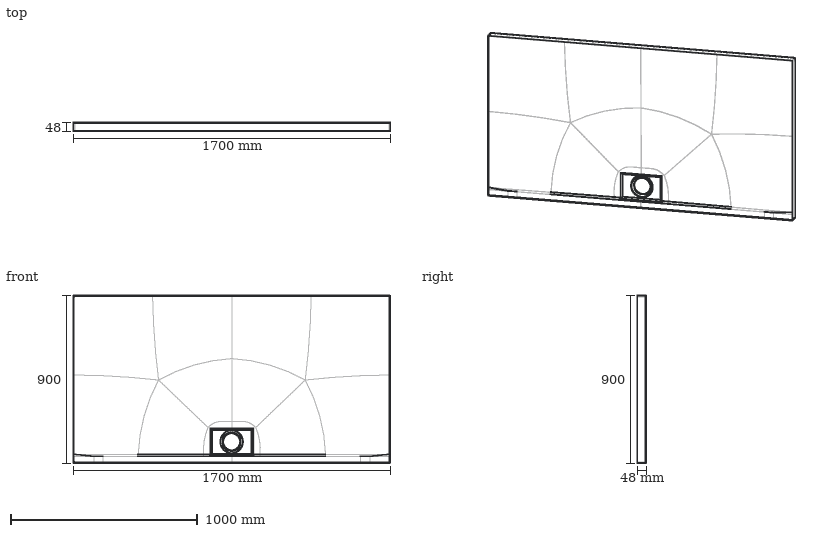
import cadquery as cq


LENGTH = 1700.0
DEPTH = 48.0
HEIGHT = 900.0
WALL = 5.0
CORNER_RADIUS = 8.0
TOP_EDGE_RADIUS = 4.0

FLOOR_THICKNESS = 5.0
RIM_LEVEL = DEPTH / 2 - FLOOR_THICKNESS
PAD_SINK = 11.0
JUNCTION_SINK = 6.0
ARCH_SINK = 5.5
FLOOR_EDGE_SINK = 6.5
INNER_X = LENGTH / 2 - WALL
INNER_Z = HEIGHT / 2 - WALL

FLOOR_EDGE_Z = -402.0
SHELF_EDGE_Z = -413.0
SHELF_TILT_SINK = 2.0
SHELF_RAMP_START_X = 740.0
SHELF_RAMP_END_X = 690.0

BOX_HALF_WIDTH = 106.0
BOX_TOP_Z = -273.0
BOX_RISE = 14.0
BOX_SIDE_FLARE = 9.0
BOX_TOP_FLARE = 10.0
BOX_BOTTOM_FLARE = 5.5
PAD_LEVEL = RIM_LEVEL - PAD_SINK
BOX_LEVEL = PAD_LEVEL - BOX_RISE
FUNNEL_RISE = 12.0
FUNNEL_LEVEL = BOX_LEVEL - FUNNEL_RISE
FUNNEL_BASE_RADIUS = 61.0
HOLE_RADIUS = 45.0
DRAIN_Z = -335.0


def underside(x, z, sink=0.0):
    """Point on the underside of the floor, sunk from the rim level."""
    return cq.Vector(x, RIM_LEVEL - sink, z)


def line(start, end):
    return cq.Edge.makeLine(start, end)


def chain(*points):
    """Straight edges from each point to the next."""
    return [line(start, end) for start, end in zip(points, points[1:])]


def arc(start, middle, end):
    """Arc that passes over (x, z) `middle` halfway down between its two ends."""
    mid_point = cq.Vector(middle[0], (start.y + end.y) / 2, middle[1])
    return cq.Edge.makeThreePointArc(start, mid_point, end)


def thicken(face):
    """Floor-thick plate whose underside is the given face."""
    return cq.Solid.extrudeLinear(face, cq.Vector(0, FLOOR_THICKNESS, 0))


def curved_plate(edges):
    return thicken(cq.Face.makeNSidedSurface(edges, []))


def flat_plate(edges):
    return thicken(cq.Face.makeFromWires(cq.Wire.assembleEdges(edges)))


def ruled_plate(first_edge, second_edge):
    return thicken(cq.Face.makeRuledSurface(first_edge, second_edge))


def both_sides(solids):
    return solids + [solid.mirror("YZ") for solid in solids]


def make_frame():
    """Four walls around the tray, open at both faces."""
    frame = (
        cq.Workplane("XY")
        .box(LENGTH, DEPTH, HEIGHT)
        .edges("|Y")
        .fillet(CORNER_RADIUS)
        .faces(">Y")
        .edges()
        .fillet(TOP_EDGE_RADIUS)
    )
    opening = (
        cq.Workplane("XY")
        .box(2 * INNER_X, 2 * DEPTH, 2 * INNER_Z)
        .edges("|Y")
        .fillet(CORNER_RADIUS - WALL)
    )
    return frame.cut(opening)


def make_floor():
    """Dished floor, shelf and the sloping step that joins them."""
    top_corner = underside(-INNER_X, INNER_Z)
    top_seam = underside(-425, INNER_Z)
    top_middle = underside(0, INNER_Z)
    side_seam = underside(-INNER_X, 24)
    junction = underside(-393, -3, JUNCTION_SINK)
    arch_crown = underside(0, 112, ARCH_SINK)
    edge_end = underside(-INNER_X, FLOOR_EDGE_Z)
    edge_seam = underside(-502, FLOOR_EDGE_Z, FLOOR_EDGE_SINK)
    pad_foot = underside(-151, FLOOR_EDGE_Z, PAD_SINK)
    pad_shoulder = underside(-128, -257, PAD_SINK)
    pad_crown = underside(0, -225, PAD_SINK)

    upper_seam = arc(top_seam, (-412, 181), junction)
    outer_seam = arc(side_seam, (-592, 15), junction)
    arch_seam = arc(junction, (-204, 77), arch_crown)
    lower_seam = arc(junction, (-463, -170), edge_seam)
    valley = line(junction, pad_shoulder)
    pad_side = arc(pad_foot, (-146, -315), pad_shoulder)
    pad_brow = underside(-97, -234, PAD_SINK)
    pad_top_tangents = [cq.Vector(1, 0, 1), cq.Vector(1, 0, 0)]
    pad_top = cq.Edge.makeSpline([pad_shoulder, pad_brow, pad_crown], pad_top_tangents)
    outer_edge = line(edge_end, edge_seam)
    inner_edge = line(edge_seam, pad_foot)

    wall_end = underside(-INNER_X, -INNER_Z)
    wall_ramp_start = underside(-SHELF_RAMP_START_X, -INNER_Z)
    wall_ramp_end = underside(-SHELF_RAMP_END_X, -INNER_Z)
    wall_middle = underside(0, -INNER_Z)
    shelf_end = underside(-INNER_X, SHELF_EDGE_Z)
    shelf_ramp_start = underside(-SHELF_RAMP_START_X, SHELF_EDGE_Z)
    shelf_ramp_end = underside(-SHELF_RAMP_END_X, SHELF_EDGE_Z, SHELF_TILT_SINK)
    shelf_seam = underside(edge_seam.x, SHELF_EDGE_Z, SHELF_TILT_SINK)
    shelf_foot = underside(pad_foot.x, SHELF_EDGE_Z, SHELF_TILT_SINK)
    shelf_middle = underside(0, SHELF_EDGE_Z, SHELF_TILT_SINK)
    edge_middle = underside(0, FLOOR_EDGE_Z, PAD_SINK)

    floor_panels = [
        curved_plate(chain(side_seam, top_corner, top_seam) + [upper_seam, outer_seam]),
        curved_plate(chain(top_seam, top_middle, arch_crown) + [arch_seam, upper_seam]),
        curved_plate(chain(arch_crown, pad_crown) + [pad_top, valley, arch_seam]),
        curved_plate(chain(edge_end, side_seam) + [outer_seam, lower_seam, outer_edge]),
        curved_plate([lower_seam, valley, pad_side, inner_edge]),
        flat_plate([pad_side, pad_top] + chain(pad_crown, edge_middle, pad_foot)),
    ]
    step_panels = [
        flat_plate(chain(edge_end, shelf_end, shelf_ramp_start, edge_end)),
        flat_plate(chain(edge_end, shelf_ramp_start, shelf_ramp_end, edge_end)),
        ruled_plate(outer_edge, line(shelf_ramp_end, shelf_seam)),
        ruled_plate(inner_edge, line(shelf_seam, shelf_foot)),
        ruled_plate(line(pad_foot, edge_middle), line(shelf_foot, shelf_middle)),
    ]
    shelf_panels = [
        ruled_plate(line(wall_end, wall_ramp_start), line(shelf_end, shelf_ramp_start)),
        ruled_plate(line(wall_ramp_start, wall_ramp_end), line(shelf_ramp_start, shelf_ramp_end)),
        ruled_plate(line(wall_ramp_end, wall_middle), line(shelf_ramp_end, shelf_middle)),
    ]
    first_plate, *other_plates = both_sides(floor_panels + step_panels + shelf_panels)
    return first_plate.fuse(*other_plates, glue=True)


def box_section(level, inset):
    """Rectangle of the drafted drain box at a Y level, drawn in by `inset`."""
    spread = (level - BOX_LEVEL) / BOX_RISE
    half_width = BOX_HALF_WIDTH + BOX_SIDE_FLARE * spread - inset
    top = BOX_TOP_Z + BOX_TOP_FLARE * spread - inset
    bottom = FLOOR_EDGE_Z - BOX_BOTTOM_FLARE * spread + inset
    corners = [(-half_width, bottom), (half_width, bottom), (half_width, top), (-half_width, top)]
    return cq.Wire.makePolygon([cq.Vector(x, level, z) for x, z in corners], close=True)


def make_box(low_level, high_level, inset):
    sections = [box_section(low_level, inset), box_section(high_level, inset)]
    return cq.Solid.makeLoft(sections, True)


def make_funnel(tip_level, inset):
    """Cone that narrows toward -Y around the drain hole."""
    tip = cq.Vector(0, tip_level, DRAIN_Z)
    tip_radius = HOLE_RADIUS + FLOOR_THICKNESS - inset
    return cq.Solid.makeCone(tip_radius, FUNNEL_BASE_RADIUS - inset, FUNNEL_RISE, tip, cq.Vector(0, 1, 0))


def make_hole():
    start = cq.Vector(0, -DEPTH, DRAIN_Z)
    return cq.Solid.makeCylinder(HOLE_RADIUS, 2 * DEPTH, start, cq.Vector(0, 1, 0))


additions = [
    make_floor(),
    make_box(BOX_LEVEL, PAD_LEVEL + FLOOR_THICKNESS, 0),
    make_funnel(FUNNEL_LEVEL, 0),
]
hollows = [
    make_box(BOX_LEVEL + FLOOR_THICKNESS, DEPTH / 2, FLOOR_THICKNESS),
    make_funnel(FUNNEL_LEVEL + FLOOR_THICKNESS, FLOOR_THICKNESS),
    make_hole(),
]
tray = make_frame().val().fuse(*additions).cut(*hollows)
result = cq.Workplane(tray).solids()